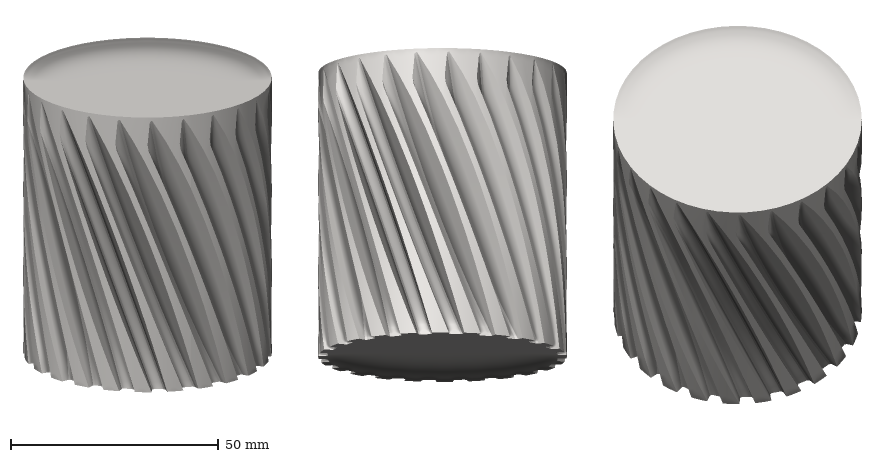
import cadquery as cq
import math

diameter = 60.0
height = 70.0

groove_count = 24
tilt = 19.2
floor_radius = 175.0
deepest_floor = 18.7
deepest_height = 52.65
floor_width = 2.25
bevel_width = 0.4
bevel_height = 0.35
wall_flare = 9.2
cutter_rim = 17.5

groove_pitch = 360.0 / groove_count


def make_cutter():
    """Disc cutter for the groove on the +X side, leaned so its plane meets the base centre."""
    bevel_half = floor_width / 2 + bevel_width
    mouth_half = bevel_half + (cutter_rim - bevel_height) * math.tan(math.radians(wall_flare))
    lower_half = [
        (deepest_floor, floor_width / 2),
        (deepest_floor + bevel_height, bevel_half),
        (deepest_floor + cutter_rim, mouth_half),
    ]
    upper_half = [(x, -y) for x, y in reversed(lower_half)]
    disc_center = deepest_floor + floor_radius
    disc = (
        cq.Workplane("XY")
        .polyline(lower_half + upper_half)
        .close()
        .revolve(360, (disc_center, 0, 0), (disc_center, 1, 0))
    )
    sideways_shift = -deepest_height * math.tan(math.radians(tilt))
    return disc.rotate((0, 0, 0), (1, 0, 0), tilt).translate((0, sideways_shift, deepest_height))


result = cq.Workplane("XY").circle(diameter / 2).extrude(height)

cutter = make_cutter()
for index in range(groove_count):
    result = result.cut(cutter.rotate((0, 0, 0), (0, 0, 1), index * groove_pitch))